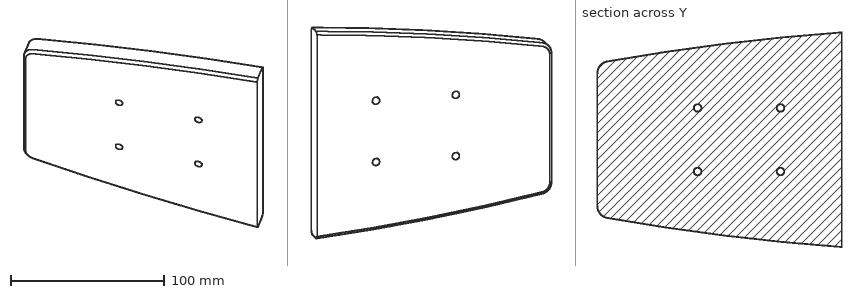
import cadquery as cq

length = 159.4
thickness = 14.0
wide_height = 140.1
narrow_height = 99.8
middle_height = 124.3
corner_radius = 8.0
edge_chamfer = 1.9

hole_diameter = 4.8
hole_spacing_x = 54.0
hole_spacing_z = 41.5
hole_centre_x = 12.8

left = -length / 2
right = length / 2


def make_plate():
    """Tapered plate with bowed long sides and a rounded narrow end."""
    plate = (
        cq.Workplane("XZ")
        .moveTo(left, -narrow_height / 2)
        .threePointArc((0, -middle_height / 2), (right, -wide_height / 2))
        .lineTo(right, wide_height / 2)
        .threePointArc((0, middle_height / 2), (left, narrow_height / 2))
        .close()
        .extrude(thickness / 2, both=True)
    )
    return plate.edges("|Y and <X").fillet(corner_radius)


def chamfer_rim(plate):
    """Bevel both faces along every side except the flat wide end."""
    rim = plate.faces("<Y or >Y").edges("not(>X)")
    return rim.chamfer(edge_chamfer)


def drill_holes(plate):
    """Rectangular pattern of through holes."""
    drills = (
        cq.Workplane("XZ")
        .center(hole_centre_x, 0)
        .rarray(hole_spacing_x, hole_spacing_z, 2, 2)
        .circle(hole_diameter / 2)
        .extrude(thickness, both=True)
    )
    return plate.cut(drills)


result = drill_holes(chamfer_rim(make_plate()))